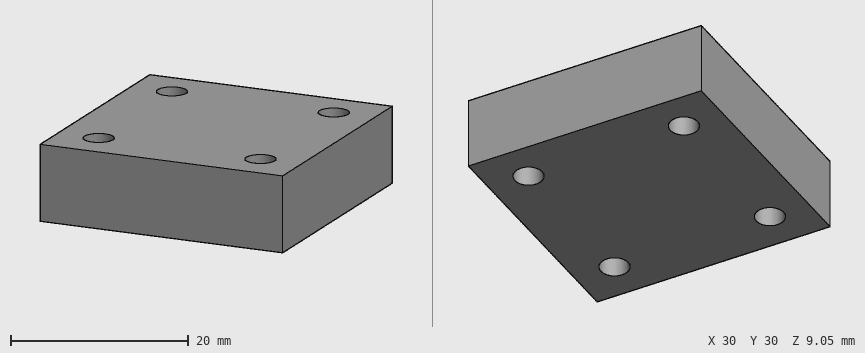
import cadquery as cq

side = 30.0
thickness = 9.05

hole_diameter = 3.5
hole_spacing = 20.0

plate = cq.Workplane("XY").box(side, side, thickness)

result = (
    plate.faces(">Z")
    .workplane()
    .rect(hole_spacing, hole_spacing, forConstruction=True)
    .vertices()
    .hole(hole_diameter)
)